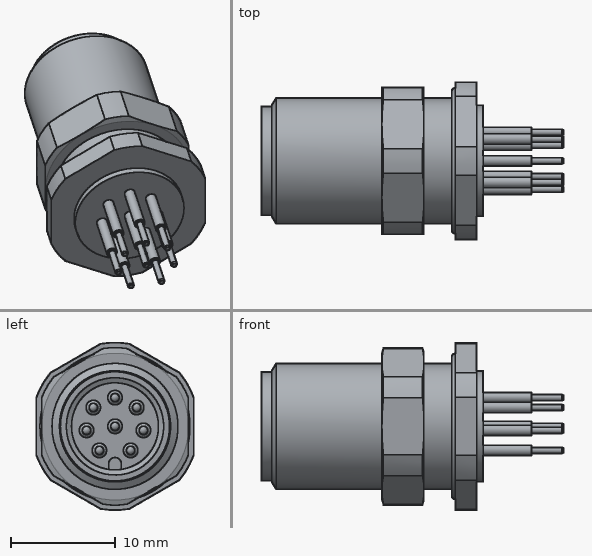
import cadquery as cq
import math

TOTAL_LENGTH = 28.8
NOSE_LENGTH = 0.98
SHELL_CHAMFER_END = 1.4
NUT_START = 11.5
NUT_LENGTH = 4.0
FLANGE_START = 18.5
FLANGE_LENGTH = 2.02
FLANGE_END = FLANGE_START + FLANGE_LENGTH
BOSS_END = 21.15
SLEEVE_END = 25.78

NOSE_DIAMETER = 10.4
SHELL_CHAMFER_DIAMETER = 10.6
SHELL_DIAMETER = 12.0
FLANGE_DIAMETER = 15.98
BOSS_DIAMETER = 10.6
BORE_DIAMETER = 8.3
BORE_MOUTH_DIAMETER = 9.27
BORE_MOUTH_DEPTH = 0.23
BORE_DEPTH = 8.5

FLANGE_FLATS = 15.0
NUT_FLATS = 14.0
NUT_CORNER_DIAMETER = 15.0
NUT_CHAMFER_LENGTH = 0.15

GROOVE_DIAMETER = 14.3
GROOVE_DEPTH = 0.23
SEAL_TUBE_RADIUS = 0.37
SEAL_FRONT = 18.12
SEAL_CENTER_X = SEAL_FRONT + SEAL_TUBE_RADIUS
SEAL_CENTER_RADIUS = (SHELL_DIAMETER + GROOVE_DIAMETER) / 4

CIRCLE_RADIUS = 2.75
CIRCLE_CONTACTS = 7
CONTACT_PITCH_ANGLE = 49
PIN_DIAMETER = 0.8
PIN_TIP = 1.55
PIN_COLLAR_DIAMETER = 1.38
PIN_COLLAR_LENGTH = 0.3
SLEEVE_DIAMETER = 1.0
SLEEVE_CHAMFER = 0.1
WIRE_DIAMETER = 0.6
WIRE_CHAMFER_LENGTH = 0.17
WIRE_CHAMFER_WIDTH = 0.1

KEY_WIDTH = 1.2
KEY_TOP_Z = -2.97
KEY_FRONT = 0.43
KEY_FOOT_Z = -(BORE_DIAMETER + NOSE_DIAMETER) / 4


def cylinder_x(start, end, diameter, y=0, z=0):
    """Cylinder parallel to X between two stations."""
    return cq.Workplane("YZ", origin=(start, y, z)).circle(diameter / 2).extrude(end - start)


def revolve_x(points):
    """Solid turned about X from a closed outline of (x, radius) points."""
    return cq.Workplane("XY").polyline(points).close().revolve(360, (0, 0), (1, 0))


def hexagon_x(start, length, across_flats):
    """Hexagonal bar along X with two flats facing +Y and -Y."""
    across_corners = across_flats / math.cos(math.pi / 6)
    bar = cq.Workplane("XY").polygon(6, across_corners).extrude(length)
    bar = bar.rotate((0, 0, 0), (0, 1, 0), 90)
    return bar.translate((start, 0, 0))


def make_shell():
    """Turned shell with a nose, a rear boss and a blind bore with a conical mouth."""
    shell = revolve_x([
        (0, 0),
        (0, NOSE_DIAMETER / 2),
        (NOSE_LENGTH, NOSE_DIAMETER / 2),
        (NOSE_LENGTH, SHELL_CHAMFER_DIAMETER / 2),
        (SHELL_CHAMFER_END, SHELL_DIAMETER / 2),
        (FLANGE_END, SHELL_DIAMETER / 2),
        (FLANGE_END, BOSS_DIAMETER / 2),
        (BOSS_END, BOSS_DIAMETER / 2),
        (BOSS_END, 0),
    ])
    bore = revolve_x([
        (0, 0),
        (0, BORE_MOUTH_DIAMETER / 2),
        (BORE_MOUTH_DEPTH, BORE_DIAMETER / 2),
        (BORE_DEPTH, BORE_DIAMETER / 2),
        (BORE_DEPTH, 0),
    ])
    return shell.cut(bore)


def make_flange():
    """Hexagonal flange with rounded corners and an open groove that holds the sealing ring."""
    flange = cylinder_x(FLANGE_START, FLANGE_END, FLANGE_DIAMETER)
    flange = flange.intersect(hexagon_x(FLANGE_START, FLANGE_LENGTH, FLANGE_FLATS))
    return flange.cut(cylinder_x(FLANGE_START, FLANGE_START + GROOVE_DEPTH, GROOVE_DIAMETER))


def make_seal():
    """Round-section ring around the shell, part of the connector body."""
    return (
        cq.Workplane("XY")
        .center(SEAL_CENTER_X, SEAL_CENTER_RADIUS)
        .circle(SEAL_TUBE_RADIUS)
        .revolve(360, (0, -SEAL_CENTER_RADIUS), (1, -SEAL_CENTER_RADIUS))
    )


def make_key():
    """Round-topped rib standing on the bore wall."""
    round_center_z = KEY_TOP_Z - KEY_WIDTH / 2
    foot_height = round_center_z - KEY_FOOT_Z
    key = cylinder_x(KEY_FRONT, BORE_DEPTH, KEY_WIDTH, z=round_center_z)
    foot = cq.Workplane("XY").box(
        BORE_DEPTH - KEY_FRONT, KEY_WIDTH, foot_height, centered=(False, True, False)
    )
    return key.union(foot.translate((KEY_FRONT, 0, KEY_FOOT_Z)))


def contact_places():
    """(y, z) of every contact; the open circle is symmetric about the top."""
    places = [(0, 0)]
    for index in range(CIRCLE_CONTACTS):
        angle = math.radians((index - (CIRCLE_CONTACTS - 1) / 2) * CONTACT_PITCH_ANGLE)
        places.append((CIRCLE_RADIUS * math.sin(angle), CIRCLE_RADIUS * math.cos(angle)))
    return places


def make_contact():
    """Round-tipped pin with a conical collar, then the sleeve and wire end behind the shell."""
    tip_radius = PIN_DIAMETER / 2
    tip_center_x = PIN_TIP + tip_radius
    tip = cq.Workplane("XY").sphere(tip_radius).translate((tip_center_x, 0, 0))
    pin = cylinder_x(tip_center_x, BORE_DEPTH, PIN_DIAMETER).union(tip)
    collar = revolve_x([
        (BORE_DEPTH - PIN_COLLAR_LENGTH, 0),
        (BORE_DEPTH - PIN_COLLAR_LENGTH, PIN_DIAMETER / 2),
        (BORE_DEPTH, PIN_COLLAR_DIAMETER / 2),
        (BORE_DEPTH, 0),
    ])
    sleeve = cylinder_x(BOSS_END, SLEEVE_END, SLEEVE_DIAMETER)
    sleeve = sleeve.faces(">X").chamfer(SLEEVE_CHAMFER)
    wire = cylinder_x(SLEEVE_END, TOTAL_LENGTH, WIRE_DIAMETER)
    wire = wire.faces(">X").chamfer(WIRE_CHAMFER_LENGTH, WIRE_CHAMFER_WIDTH)
    return [pin, collar, sleeve, wire]


def make_connector():
    """Shell, flange, sealing ring, key and contacts joined into one body."""
    connector = make_shell().union(make_flange()).union(make_seal()).union(make_key())
    for y, z in contact_places():
        for piece in make_contact():
            connector = connector.union(piece.translate((0, y, z)))
    return connector


def make_nut():
    """Hexagonal nut with both ends turned down conically, on the shell's full diameter."""
    nut_end = NUT_START + NUT_LENGTH
    turned = revolve_x([
        (NUT_START, 0),
        (NUT_START, NUT_FLATS / 2),
        (NUT_START + NUT_CHAMFER_LENGTH, NUT_CORNER_DIAMETER / 2),
        (nut_end - NUT_CHAMFER_LENGTH, NUT_CORNER_DIAMETER / 2),
        (nut_end, NUT_FLATS / 2),
        (nut_end, 0),
    ])
    nut = turned.intersect(hexagon_x(NUT_START, NUT_LENGTH, NUT_FLATS))
    return nut.cut(cylinder_x(NUT_START, nut_end, SHELL_DIAMETER))


connector = make_connector()
nut = make_nut()

result = cq.Compound.makeCompound([connector.solids().val(), nut.solids().val()])